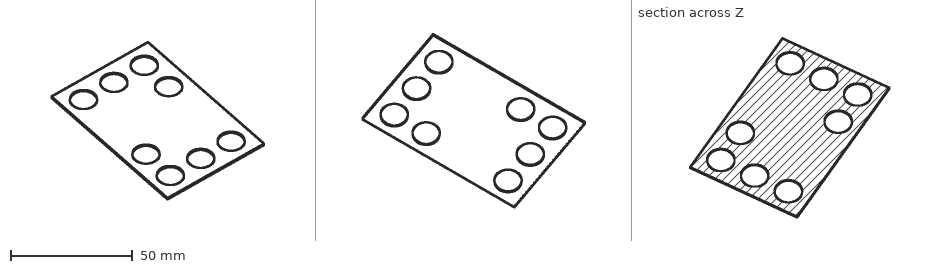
import cadquery as cq

length = 76.2
width = 50.8
thickness = 0.85

hole_diameter = 11.2
hole_pitch = 16.0
column_x = 28.5
inboard_x = column_x - hole_pitch

middle_row_y = -0.2
top_row_y = middle_row_y + hole_pitch
bottom_row_y = middle_row_y - hole_pitch

end_columns = [
    (x, y)
    for x in (-column_x, column_x)
    for y in (bottom_row_y, middle_row_y, top_row_y)
]
inboard_holes = [(-inboard_x, top_row_y), (inboard_x, bottom_row_y)]

plate = cq.Workplane("XY").box(length, width, thickness)

result = (
    plate.faces(">Z")
    .workplane()
    .pushPoints(end_columns + inboard_holes)
    .hole(hole_diameter)
)